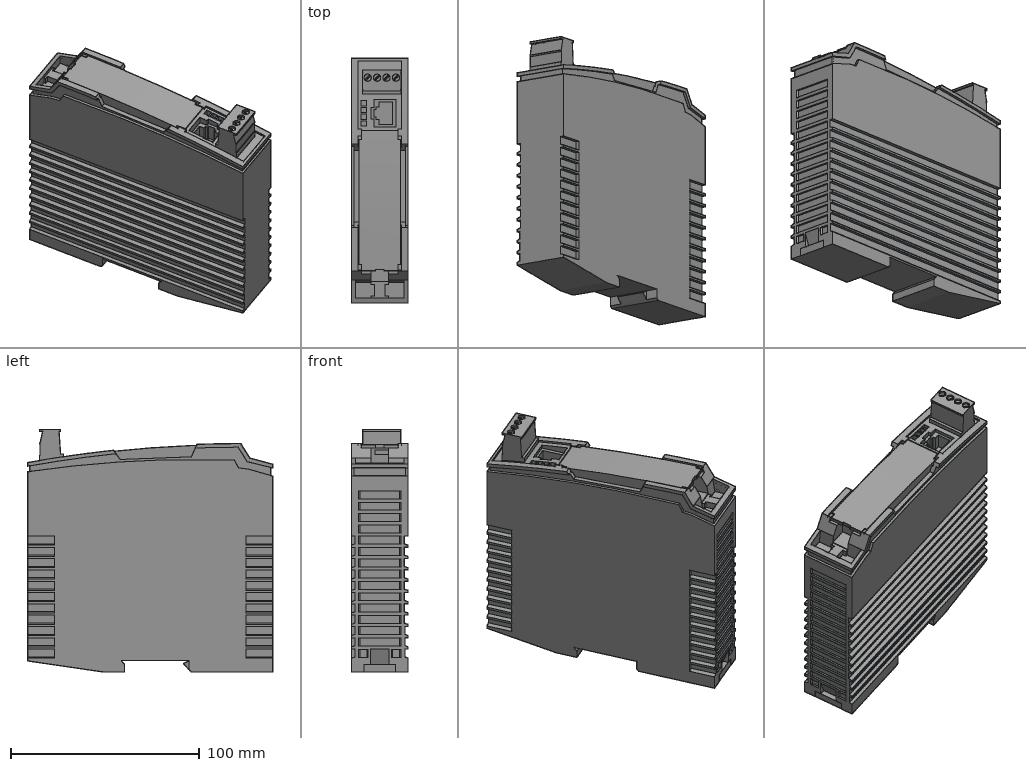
import cadquery as cq
import math

WIDTH = 30.2
LENGTH = 130.01
HEIGHT = 128.7
HALF_WIDTH = WIDTH / 2
REAR_Y = LENGTH / 2
FRONT_Y = -REAR_Y

CASE_REAR_Z = 106.2
CASE_MID_Y = 27.8
CASE_MID_Z = 110.5
CASE_FLAT_Y = -7.1
CASE_FLAT_Z = 112.5
CASE_SHOULDER_Y = -44.5
CASE_STEP_Y = -46.8
CASE_STEP_Z = 108.2
CASE_BEND_Y = -52.0
CASE_BEND_Z = 107.6
CASE_FRONT_Z = 103.9
TAPER_REAR_Z = 5.8
TAPER_END_Y = 25.3

RAIL_REAR_Y = 15.3
RAIL_LIP_Y = 13.6
RAIL_LIP_Z = 4.0
RAIL_FRONT_Y = -20.5
RAIL_ROOF_Z = 6.0
RAIL_CHAMFER = 1.2

FOOT_HALF_WIDTH = 8.3
FOOT_HEIGHT = 4.1
FOOT_RECESS = 0.1
CATCH_REACH = 3.0
CATCH_TIP_Z = 4.5
TOOL_HALF_WIDTH = 4.8
TOOL_TOP_Z = 12.2
TOOL_DEPTH = 3.0

VENT_COUNT = 15
VENT_PITCH = 6.0
VENT_TOP_Z = 96.0
VENT_HEIGHT = 4.2
VENT_DEPTH = 1.0
VENT_HALF_WIDTH = 11.3
VENT_SIDE_SLOPE = 0.7
SHORT_VENT_INNER = 6.1

GROOVE_COUNT = 11
GROOVE_TOP_Z = 72.1
GROOVE_DEPTH = 2.1
SHALLOW_GROOVE_DEPTH = 1.6
SHALLOW_GROOVE_COUNT = 3
GROOVE_HEIGHT = 4.1
GROOVE_FLARE = 0.7
GROOVE_LENGTH = 14.2

COVER_BOTTOM_Z = 102.0
NECK_HALF_WIDTH = 13.6
NECK_END_INSET = 1.1
RIM_HEIGHT = 2.0
SLOPE_SHIFT = 0.7
COVER_REAR_Z = 111.1
COVER_SHOULDER_Z = 121.2
COVER_SHOULDER_Y = -48.0
COVER_STEP_Y = -52.8
COVER_STEP_Z = 113.5
COVER_FRONT_Z = 110.2
LID_HALF_WIDTH = 11.1
LID_END_HALF_WIDTH = 9.7
LID_REAR_Y = 26.6
LID_REAR_WIDE_Y = 21.8
LID_FRONT_WIDE_Y = -44.5
LID_FRONT_Y = -47.8
LID_DROP = 0.5
LID_GAP = 0.5
LID_GAP_DEPTH = 2.5
PIT_LENGTH = 1.8
LID_UNDERSIDE_Z = 118.7
LID_LEDGE_Z = 118.9
GRIP_TOP_REAR_Y = 19.5
GRIP_REAR_Y = 16.0
GRIP_REAR_Z = 112.7
GRIP_FRONT_Y = -21.8
GRIP_FRONT_Z = 114.1
GRIP_TOP_FRONT_Y = -24.9

PANEL_REAR_Y = 63.4
PANEL_FRONT_Y = 27.5
PANEL_HALF_WIDTH = 11.5
PANEL_DEPTH = 1.0

TRAY_HALF_WIDTH = 12.9
TRAY_REAR_Y = -54.0
TRAY_FRONT_Y = -62.2
TRAY_FLOOR_Z = 105.7
BRIDGE_TOP_Z = 109.2
BRIDGE_BAR_LENGTH = 1.1
BRIDGE_HALF_WIDTH = 2.7
CHANNEL_HALF_WIDTH = 4.7
CHANNEL_REAR_Y = -44.0
CHANNEL_FLOOR_Z = 109.5
NOTCH_HALF_WIDTH = 2.3
NOTCH_REAR_Y = -47.0
WINDOW_LEFT_X = -2.6
WINDOW_BOTTOM_Z = 115.3
WINDOW_TOP_Z = 117.8
WINDOW_DEPTH = 1.0

JACK_X = 2.75
JACK_Y = 35.75
JACK_WIDTH = 11.8
JACK_LENGTH = 14.5
JACK_RECESS_Z = 111.8
JACK_FLOOR_Z = 103.0
PLUG_HOLE_RIGHT = 6.7
PLUG_HOLE_STEPS = [(-0.5, 12.0), (-1.9, 6.4), (-3.1, 4.1)]
TAB_SLOT_WIDTH = 1.5
TAB_SLOT_LENGTH = 6.0

LIGHT_COUNT = 4
LIGHT_X = -8.4
LIGHT_WIDTH = 3.0
LIGHT_LENGTH = 2.8
LIGHT_PITCH = 3.6
LIGHT_MID_Y = 35.7
LIGHT_FLOOR_Z = 111.8

PLUG_X = 1.1
PLUG_WIDTH = 20.3
PLUG_SEAT_Z = 110.0
PLUG_REAR_Y = 58.5
PLUG_FRONT_Y = 47.5
PLUG_FOOT_Y = 46.0
PLUG_FOOT_Z = 115.7
PLUG_HEEL_Y = 58.8
PLUG_HEEL_Z = 114.9
PLUG_WAIST_Z = 121.4
PLUG_TOOTH_HEIGHT = 0.8
PLUG_NECK_REAR_Y = 57.1
PLUG_NECK_FRONT_Y = 48.3
PLUG_LIP_Z = 127.6
SCREW_COUNT = 4
SCREW_PITCH = 5.0
SCREW_DIAMETER = 3.8
SCREW_Y = 54.6
SCREW_RECESS = 1.2
SCREW_SLOT_WIDTH = 0.7
SCREW_SLOT_DEPTH = 0.6


def cover_top_z(y):
    """Height of the cover's arched top, an arc that levels out at COVER_SHOULDER_Y."""
    run = REAR_Y - COVER_SHOULDER_Y
    rise = COVER_SHOULDER_Z - COVER_REAR_Z
    radius = (run**2 + rise**2) / (2 * rise)
    return COVER_SHOULDER_Z - radius + math.sqrt(radius**2 - (y - COVER_SHOULDER_Y) ** 2)


def across(profile, half_width):
    """Extrude a closed YZ profile symmetrically about the X mid-plane."""
    return profile.extrude(half_width, both=True)


def block(x0, x1, y0, y1, z0, z1):
    """Axis-aligned box between two opposite corners."""
    return cq.Workplane("XY").box(x1 - x0, y1 - y0, z1 - z0, centered=False).translate((x0, y0, z0))


def cover_profile(drop, end_inset, bottom_z):
    """Area below the cover's top line, lowered by `drop`, down to `bottom_z`.

    The steep front slope also moves back as the line is lowered, so the rim keeps its thickness.
    """
    rear_y = REAR_Y - end_inset
    shift = drop * SLOPE_SHIFT
    shoulder_y = COVER_SHOULDER_Y + shift
    mid_y = (rear_y + shoulder_y) / 2
    return (
        cq.Workplane("YZ")
        .moveTo(rear_y, bottom_z)
        .lineTo(rear_y, cover_top_z(rear_y) - drop)
        .threePointArc((mid_y, cover_top_z(mid_y) - drop), (shoulder_y, cover_top_z(shoulder_y) - drop))
        .lineTo(COVER_STEP_Y + shift, COVER_STEP_Z - drop)
        .lineTo(FRONT_Y + end_inset, COVER_FRONT_Z - drop)
        .lineTo(FRONT_Y + end_inset, bottom_z)
        .close()
    )


def case_body():
    profile = (
        cq.Workplane("YZ")
        .moveTo(REAR_Y, CASE_REAR_Z)
        .threePointArc((CASE_MID_Y, CASE_MID_Z), (CASE_FLAT_Y, CASE_FLAT_Z))
        .lineTo(CASE_SHOULDER_Y, CASE_FLAT_Z)
        .lineTo(CASE_STEP_Y, CASE_STEP_Z)
        .lineTo(CASE_BEND_Y, CASE_BEND_Z)
        .lineTo(FRONT_Y, CASE_FRONT_Z)
        .lineTo(FRONT_Y, 0)
        .lineTo(RAIL_FRONT_Y - RAIL_CHAMFER, 0)
        .lineTo(RAIL_FRONT_Y, RAIL_CHAMFER)
        .lineTo(RAIL_FRONT_Y, RAIL_ROOF_Z)
        .lineTo(RAIL_REAR_Y, RAIL_ROOF_Z)
        .lineTo(RAIL_LIP_Y, RAIL_LIP_Z)
        .lineTo(RAIL_LIP_Y, 0)
        .lineTo(TAPER_END_Y, 0)
        .lineTo(REAR_Y, TAPER_REAR_Z)
        .close()
    )
    return across(profile, HALF_WIDTH)


def rail_catch():
    profile = (
        cq.Workplane("YZ")
        .moveTo(RAIL_FRONT_Y, RAIL_ROOF_Z)
        .lineTo(RAIL_FRONT_Y + CATCH_REACH, CATCH_TIP_Z)
        .lineTo(RAIL_FRONT_Y, RAIL_CHAMFER)
        .close()
    )
    return across(profile, FOOT_HALF_WIDTH)


def tool_pocket():
    """Wedge above the latch foot with a ceiling that falls towards the back."""
    profile = (
        cq.Workplane("YZ")
        .moveTo(FRONT_Y, TOOL_TOP_Z)
        .lineTo(FRONT_Y, FOOT_HEIGHT)
        .lineTo(FRONT_Y + TOOL_DEPTH, FOOT_HEIGHT)
        .close()
    )
    return across(profile, TOOL_HALF_WIDTH)


def foot_recess():
    return block(-FOOT_HALF_WIDTH, FOOT_HALF_WIDTH, FRONT_Y, FRONT_Y + FOOT_RECESS, 0, FOOT_HEIGHT)


def vent(x0, x1, top_z):
    """Pocket in the front face whose two short sides slope inwards."""
    return (
        cq.Workplane("XY")
        .polyline([
            (x0, FRONT_Y),
            (x1, FRONT_Y),
            (x1 - VENT_SIDE_SLOPE, FRONT_Y + VENT_DEPTH),
            (x0 + VENT_SIDE_SLOPE, FRONT_Y + VENT_DEPTH),
        ])
        .close()
        .extrude(VENT_HEIGHT)
        .translate((0, 0, top_z - VENT_HEIGHT))
    )


def front_vents():
    vents = cq.Workplane("XY")
    for row in range(VENT_COUNT - 1):
        vents = vents.add(vent(-VENT_HALF_WIDTH, VENT_HALF_WIDTH, VENT_TOP_Z - row * VENT_PITCH))
    last_top_z = VENT_TOP_Z - (VENT_COUNT - 1) * VENT_PITCH
    vents = vents.add(vent(-VENT_HALF_WIDTH, -SHORT_VENT_INNER, last_top_z))
    vents = vents.add(vent(SHORT_VENT_INNER, VENT_HALF_WIDTH, last_top_z))
    return vents


def side_groove(side, y0, y1, top_z, depth):
    """Groove in the side face at X = side * HALF_WIDTH with an outward-falling lower flank."""
    floor_x = side * (HALF_WIDTH - depth)
    face_x = side * HALF_WIDTH
    return (
        cq.Workplane("XZ")
        .polyline([
            (floor_x, top_z),
            (face_x, top_z),
            (face_x, top_z - GROOVE_HEIGHT - GROOVE_FLARE),
            (floor_x, top_z - GROOVE_HEIGHT),
        ])
        .close()
        .extrude(y0 - y1)
        .translate((0, y0, 0))
    )


def side_grooves():
    """Short grooves at both ends of the -X side, full-length grooves on the +X side.

    The lowest grooves of the +X side are shallower.
    """
    grooves = cq.Workplane("XY")
    for row in range(GROOVE_COUNT):
        top_z = GROOVE_TOP_Z - row * VENT_PITCH
        grooves = grooves.add(side_groove(-1, FRONT_Y, FRONT_Y + GROOVE_LENGTH, top_z, GROOVE_DEPTH))
        grooves = grooves.add(side_groove(-1, REAR_Y - GROOVE_LENGTH, REAR_Y, top_z, GROOVE_DEPTH))
        is_shallow = row >= GROOVE_COUNT - SHALLOW_GROOVE_COUNT
        depth = SHALLOW_GROOVE_DEPTH if is_shallow else GROOVE_DEPTH
        grooves = grooves.add(side_groove(1, FRONT_Y, REAR_Y, top_z, depth))
    return grooves


def cover_body():
    """Solid below the cover's top line, narrowed to a neck under the full-width rim."""
    rim_and_core = across(cover_profile(0, 0, COVER_BOTTOM_Z), HALF_WIDTH)
    below_rim = across(cover_profile(RIM_HEIGHT, 0, COVER_BOTTOM_Z), HALF_WIDTH)
    neck = across(cover_profile(RIM_HEIGHT / 2, NECK_END_INSET, COVER_BOTTOM_Z), NECK_HALF_WIDTH)
    return rim_and_core.cut(below_rim.cut(neck))


def above_cover(drop, half_width, rear_y, front_y):
    """Space above the lowered cover line, inside a rectangle centred on X."""
    space = block(-half_width, half_width, front_y, rear_y, COVER_BOTTOM_Z, HEIGHT)
    return space.cut(across(cover_profile(drop, 0, 0), HALF_WIDTH))


def grip_openings():
    """Openings through the rim and neck on both sides of the lid."""
    profile = (
        cq.Workplane("YZ")
        .polyline([
            (GRIP_TOP_REAR_Y, HEIGHT),
            (GRIP_TOP_REAR_Y, cover_top_z(GRIP_TOP_REAR_Y)),
            (GRIP_REAR_Y, GRIP_REAR_Z),
            (GRIP_FRONT_Y, GRIP_FRONT_Z),
            (GRIP_TOP_FRONT_Y, COVER_SHOULDER_Z),
            (GRIP_TOP_FRONT_Y, HEIGHT),
        ])
        .close()
    )
    lid_core = block(-LID_HALF_WIDTH, LID_HALF_WIDTH, FRONT_Y, REAR_Y, 0, HEIGHT)
    return across(profile, HALF_WIDTH).cut(lid_core)


def lid_relief():
    """Set the lid slightly below the rim; it is narrower at both ends."""
    wide = above_cover(LID_DROP, LID_HALF_WIDTH, LID_REAR_WIDE_Y, LID_FRONT_WIDE_Y)
    narrow = above_cover(LID_DROP, LID_END_HALF_WIDTH, LID_REAR_Y, COVER_SHOULDER_Y)
    front_ledge = block(
        -LID_END_HALF_WIDTH, LID_END_HALF_WIDTH, COVER_STEP_Y, LID_FRONT_Y, LID_LEDGE_Z, HEIGHT
    )
    return wide.union(narrow).union(front_ledge)


def lid_gaps():
    """Thin gaps between the rim and both sides of the lid, and a pit at each lid corner."""
    outer_x = LID_HALF_WIDTH + LID_GAP
    gaps = above_cover(LID_GAP_DEPTH, outer_x, LID_REAR_WIDE_Y, LID_FRONT_WIDE_Y)
    gaps = gaps.cut(block(-LID_HALF_WIDTH, LID_HALF_WIDTH, FRONT_Y, REAR_Y, 0, HEIGHT))
    rear_pits = above_cover(LID_GAP_DEPTH, outer_x, LID_REAR_WIDE_Y + PIT_LENGTH, LID_REAR_WIDE_Y)
    front_pits = above_cover(LID_DROP * 2, outer_x, LID_FRONT_WIDE_Y, COVER_SHOULDER_Y)
    pits = rear_pits.union(front_pits)
    pits = pits.cut(block(-LID_END_HALF_WIDTH, LID_END_HALF_WIDTH, FRONT_Y, REAR_Y, 0, HEIGHT))
    return gaps.union(pits)


def connector_panel():
    """Sunken field around the connectors, reaching to the rear edge of the lid."""
    field = above_cover(PANEL_DEPTH, PANEL_HALF_WIDTH, PANEL_REAR_Y, PANEL_FRONT_Y)
    return field.union(above_cover(PANEL_DEPTH, LID_END_HALF_WIDTH, PANEL_FRONT_Y, LID_REAR_Y))


def front_tray():
    """Tray behind the front rim, divided by an H-shaped bridge."""
    profile = (
        cq.Workplane("YZ")
        .polyline([
            (TRAY_FRONT_Y, HEIGHT),
            (TRAY_FRONT_Y, TRAY_FLOOR_Z),
            (TRAY_REAR_Y, TRAY_FLOOR_Z),
            (COVER_STEP_Y, COVER_STEP_Z),
            (COVER_STEP_Y, HEIGHT),
        ])
        .close()
    )
    bridge_bars = [
        (BRIDGE_HALF_WIDTH, TRAY_FRONT_Y, COVER_STEP_Y),
        (CHANNEL_HALF_WIDTH, TRAY_FRONT_Y, TRAY_FRONT_Y + BRIDGE_BAR_LENGTH),
        (CHANNEL_HALF_WIDTH, TRAY_REAR_Y - BRIDGE_BAR_LENGTH, COVER_STEP_Y),
    ]
    bridge = cq.Workplane("XY")
    for half_width, front_y, rear_y in bridge_bars:
        bridge = bridge.union(block(-half_width, half_width, front_y, rear_y, TRAY_FLOOR_Z, BRIDGE_TOP_Z))
    return across(profile, TRAY_HALF_WIDTH).cut(bridge)


def latch_channel():
    """Channel from the tray to below the lid, with a notch in the lid and a window in its end wall."""
    open_part = block(
        -CHANNEL_HALF_WIDTH, CHANNEL_HALF_WIDTH, TRAY_REAR_Y, LID_FRONT_Y, CHANNEL_FLOOR_Z, HEIGHT
    )
    covered_part = block(
        -CHANNEL_HALF_WIDTH, CHANNEL_HALF_WIDTH,
        LID_FRONT_Y, CHANNEL_REAR_Y,
        CHANNEL_FLOOR_Z, LID_UNDERSIDE_Z,
    )
    notch = block(
        -NOTCH_HALF_WIDTH, NOTCH_HALF_WIDTH, LID_FRONT_Y, NOTCH_REAR_Y, CHANNEL_FLOOR_Z, HEIGHT
    )
    window = block(
        WINDOW_LEFT_X, CHANNEL_HALF_WIDTH,
        CHANNEL_REAR_Y, CHANNEL_REAR_Y + WINDOW_DEPTH,
        WINDOW_BOTTOM_Z, WINDOW_TOP_Z,
    )
    return open_part.union(covered_part).union(notch).union(window)


def network_socket():
    """Rectangular recess with a deep plug hole that is stepped on its -X side."""
    socket = block(
        JACK_X - JACK_WIDTH / 2, JACK_X + JACK_WIDTH / 2,
        JACK_Y - JACK_LENGTH / 2, JACK_Y + JACK_LENGTH / 2,
        JACK_RECESS_Z, HEIGHT,
    )
    for left_x, length in PLUG_HOLE_STEPS:
        step = block(
            left_x, PLUG_HOLE_RIGHT,
            JACK_Y - length / 2, JACK_Y + length / 2,
            JACK_FLOOR_Z, HEIGHT,
        )
        socket = socket.union(step)
    tab_x = JACK_X - JACK_WIDTH / 2
    tab_slot = block(
        tab_x - TAB_SLOT_WIDTH, tab_x,
        JACK_Y - TAB_SLOT_LENGTH / 2, JACK_Y + TAB_SLOT_LENGTH / 2,
        JACK_RECESS_Z, HEIGHT,
    )
    return socket.union(tab_slot)


def indicator_lights():
    first_y = LIGHT_MID_Y - (LIGHT_COUNT - 1) / 2 * LIGHT_PITCH
    lights = cq.Workplane("XY")
    for index in range(LIGHT_COUNT):
        mid_y = first_y + index * LIGHT_PITCH
        lights = lights.add(block(
            LIGHT_X - LIGHT_WIDTH / 2, LIGHT_X + LIGHT_WIDTH / 2,
            mid_y - LIGHT_LENGTH / 2, mid_y + LIGHT_LENGTH / 2,
            LIGHT_FLOOR_Z, HEIGHT,
        ))
    return lights


def plug_envelope():
    """Plug without its screws: stepped foot, tapered body and overhanging top lip."""
    profile = (
        cq.Workplane("YZ")
        .polyline([
            (PLUG_HEEL_Y, PLUG_SEAT_Z),
            (PLUG_HEEL_Y, PLUG_HEEL_Z),
            (PLUG_REAR_Y, PLUG_HEEL_Z),
            (PLUG_REAR_Y, PLUG_WAIST_Z - PLUG_TOOTH_HEIGHT),
            (PLUG_HEEL_Y, PLUG_WAIST_Z),
            (PLUG_REAR_Y, PLUG_WAIST_Z),
            (PLUG_NECK_REAR_Y, PLUG_LIP_Z),
            (PLUG_HEEL_Y, PLUG_LIP_Z),
            (PLUG_HEEL_Y, HEIGHT),
            (PLUG_FRONT_Y, HEIGHT),
            (PLUG_FRONT_Y, PLUG_LIP_Z),
            (PLUG_NECK_FRONT_Y, PLUG_LIP_Z),
            (PLUG_FRONT_Y, PLUG_FOOT_Z),
            (PLUG_FOOT_Y, PLUG_FOOT_Z),
            (PLUG_FOOT_Y, PLUG_SEAT_Z),
        ])
        .close()
    )
    return across(profile, PLUG_WIDTH / 2).translate((PLUG_X, 0, 0))


def screw_recess(x):
    """Round recess with a screwdriver slot at 45 degrees in its floor."""
    floor_z = HEIGHT - SCREW_RECESS
    recess = cq.Workplane("XY").circle(SCREW_DIAMETER / 2).extrude(SCREW_RECESS)
    slot = (
        cq.Workplane("XY")
        .rect(SCREW_DIAMETER, SCREW_SLOT_WIDTH)
        .extrude(-SCREW_SLOT_DEPTH)
        .rotate((0, 0, 0), (0, 0, 1), 45)
    )
    return recess.union(slot).translate((x, SCREW_Y, floor_z))


def make_plug():
    plug = plug_envelope()
    first_x = PLUG_X - (SCREW_COUNT - 1) / 2 * SCREW_PITCH
    for index in range(SCREW_COUNT):
        plug = plug.cut(screw_recess(first_x + index * SCREW_PITCH))
    return plug


def make_housing():
    cover = cover_body()
    cover = cover.cut(grip_openings()).cut(lid_relief()).cut(lid_gaps()).cut(connector_panel())
    housing = case_body().union(cover)
    housing = housing.cut(front_tray()).cut(latch_channel()).cut(network_socket()).cut(plug_envelope())
    for cutter in indicator_lights().vals() + front_vents().vals() + side_grooves().vals():
        housing = housing.cut(cq.Workplane(cutter))
    return housing.cut(tool_pocket()).cut(foot_recess()).union(rail_catch())


housing = make_housing()
plug = make_plug()

result = cq.Compound.makeCompound([housing.solids().val(), plug.solids().val()])